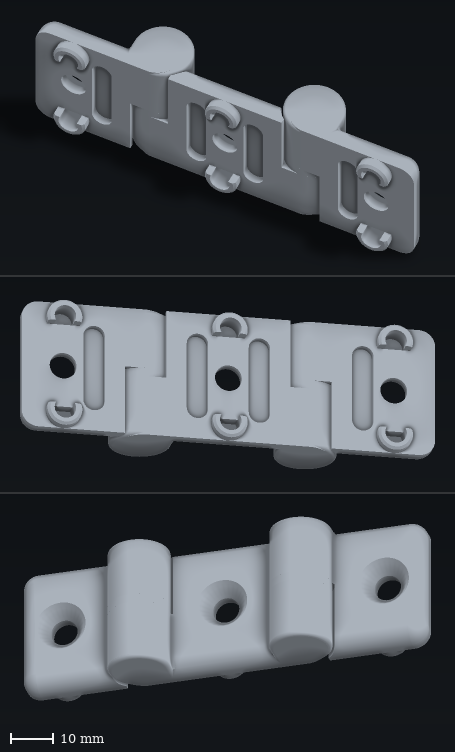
import cadquery as cq
import math

LENGTH = 100.0
HEIGHT = 32.0
THICKNESS = 6.0
EDGE_RADIUS = 4.0
HALF_HEIGHT = HEIGHT / 2

AXIS_X = 20.0
KNUCKLE_RADIUS = 7.5
KNUCKLE_END_FILLET = 1.0
KNUCKLE_ROOT_FILLET = 0.7
WASHER_THICKNESS = 2.1
WEB_SWEEP = 45.0
WEB_BULGE_RADIUS = 7.0

CLEARANCE_RADIUS = 8.0
NOTCH_REACH = 5.0

HOLE_PITCH = 40.0
HOLE_DIAMETER = 6.5
COUNTERSINK_DEPTH = 3.6
COUNTERSINK_ANGLE = 80.0

SLOT_OFFSET = 7.5
SLOT_LENGTH = 21.6
SLOT_WIDTH = 5.2
SLOT_DEPTH = 2.0

BOSS_RADIUS = 4.2
BOSS_BORE_RADIUS = 2.6
BOSS_HEIGHT = 2.8
BOSS_CHAMFER = 0.6
BOSS_CENTRE_Z = HALF_HEIGHT - BOSS_RADIUS
BOSS_FLAT_Z = 10.5
BOSS_BORE_DEPTH = 3.0


def block(x_min, x_max, y_min, y_max, z_min, z_max):
    size = (x_max - x_min, y_max - y_min, z_max - z_min)
    return cq.Workplane("XY").box(*size, centered=False).translate((x_min, y_min, z_min))


def cylinder_y(radius, x, z, y_min, y_max):
    """Cylinder along Y."""
    return cq.Workplane("XZ", origin=(x, y_min, z)).circle(radius).extrude(y_min - y_max)


def cylinder_z(radius, x, z_min, z_max):
    """Cylinder along a hinge axis."""
    return cq.Workplane("XY", origin=(x, KNUCKLE_RADIUS, z_min)).circle(radius).extrude(z_max - z_min)


def plate_blank():
    """Plate of all three leaves together, rounded around its back."""
    blank = block(-LENGTH / 2, LENGTH / 2, 0, THICKNESS, -HALF_HEIGHT, HALF_HEIGHT)
    return blank.edges("|Y").fillet(EDGE_RADIUS).faces(">Y").edges().fillet(EDGE_RADIUS)


def knuckle():
    """Knuckle on the upper half of the left axis, rooted on the plate to its left."""
    z_start = WASHER_THICKNESS / 2
    root_x = -AXIS_X - KNUCKLE_RADIUS
    barrel = cylinder_z(KNUCKLE_RADIUS, -AXIS_X, z_start, HALF_HEIGHT)
    barrel = barrel.union(block(root_x, -AXIS_X, 0, KNUCKLE_RADIUS, z_start, HALF_HEIGHT))
    barrel = barrel.faces(">Z").edges().fillet(KNUCKLE_END_FILLET)

    land_radius = KNUCKLE_RADIUS - KNUCKLE_END_FILLET
    sweep = math.radians(WEB_SWEEP)
    bulge = (WEB_BULGE_RADIUS * math.sin(sweep / 2), -WEB_BULGE_RADIUS * math.cos(sweep / 2))
    web_end = (land_radius * math.sin(sweep), -land_radius * math.cos(sweep))
    web = (
        cq.Workplane("XY", origin=(-AXIS_X, KNUCKLE_RADIUS, z_start))
        .moveTo(-land_radius, -KNUCKLE_RADIUS)
        .lineTo(0, -KNUCKLE_RADIUS)
        .threePointArc(bulge, web_end)
        .lineTo(-land_radius, 0)
        .close()
        .extrude(HALF_HEIGHT - z_start)
    )
    return barrel.union(web)


def notch(z_max):
    """Clearance for a neighbour's knuckle at the left axis, cut into the leaf on its left."""
    wall = block(-AXIS_X - NOTCH_REACH, 0, 0, THICKNESS, -HALF_HEIGHT, z_max)
    return wall.union(cylinder_z(CLEARANCE_RADIUS, -AXIS_X, -HALF_HEIGHT, z_max))


def root_profile(z):
    """Concave triangle in the corner between the plate's back and the knuckle's straight side."""
    inset = KNUCKLE_ROOT_FILLET * (1 - math.sqrt(0.5))
    return (
        cq.Workplane("XY", origin=(-AXIS_X - KNUCKLE_RADIUS, THICKNESS, z))
        .lineTo(0, KNUCKLE_ROOT_FILLET)
        .threePointArc((-inset, inset), (-KNUCKLE_ROOT_FILLET, 0))
        .close()
    )


def root_fillet():
    """Fillet along the knuckle's root, bending over the rounded top edge up to the knuckle's end fillet."""
    z_start = WASHER_THICKNESS / 2
    z_bend = HALF_HEIGHT - EDGE_RADIUS
    bend_angle = math.degrees(math.asin((EDGE_RADIUS - KNUCKLE_END_FILLET) / EDGE_RADIUS))
    straight = root_profile(z_start).extrude(z_bend - z_start)
    bend = root_profile(z_bend).revolve(bend_angle, (0, -EDGE_RADIUS, 0), (1, -EDGE_RADIUS, 0))
    return straight, bend


def hinge_side(plate):
    """Right-hand side of a leaf that ends at the left axis: knuckle above, clearance notch below."""
    leaf = plate.cut(notch(WASHER_THICKNESS / 2)).union(knuckle())
    for piece in root_fillet():
        leaf = leaf.union(piece)
    return leaf


def screw_hole(x):
    """Through hole, countersunk from the back."""
    radius = HOLE_DIAMETER / 2
    spread = COUNTERSINK_DEPTH * math.tan(math.radians(COUNTERSINK_ANGLE / 2))
    sink = cq.Solid.makeCone(
        radius + spread, radius, COUNTERSINK_DEPTH, cq.Vector(x, THICKNESS, 0), cq.Vector(0, -1, 0)
    )
    return cylinder_y(radius, x, 0, 0, THICKNESS).union(cq.Workplane(sink))


def slot(x):
    """Blind slot in the flat face."""
    return cq.Workplane("XZ", origin=(x, 0, 0)).slot2D(SLOT_LENGTH, SLOT_WIDTH, 90).extrude(-SLOT_DEPTH)


def outer_half(x, side):
    """Region beyond the flat ends of a boss on the upper (1) or lower (-1) edge."""
    half = block(x - BOSS_RADIUS, x + BOSS_RADIUS, -BOSS_HEIGHT, THICKNESS, BOSS_FLAT_Z, HALF_HEIGHT)
    return half if side > 0 else half.mirror("XY")


def add_bosses(leaf, x):
    """Leaf with an upper and a lower half-ring boss, each with a bore that runs on into the plate."""
    for side in (1, -1):
        region = outer_half(x, side)
        z = side * BOSS_CENTRE_Z
        boss = cylinder_y(BOSS_RADIUS, x, z, -BOSS_HEIGHT, 0).faces("<Y").chamfer(BOSS_CHAMFER)
        bore = cylinder_y(BOSS_BORE_RADIUS, x, z, -BOSS_HEIGHT, BOSS_BORE_DEPTH)
        leaf = leaf.union(boss.intersect(region)).cut(bore.intersect(region))
    return leaf


def plate_section(x_min, x_max):
    """Stretch of the plate between two X positions."""
    return plate_blank().intersect(block(x_min, x_max, 0, THICKNESS, -HALF_HEIGHT, HALF_HEIGHT))


def outer_leaf():
    """Left leaf, with one hinge side and one slot."""
    leaf = hinge_side(plate_section(-LENGTH / 2, -AXIS_X))
    leaf = leaf.cut(screw_hole(-HOLE_PITCH)).cut(slot(-HOLE_PITCH + SLOT_OFFSET))
    return add_bosses(leaf, -HOLE_PITCH)


def middle_leaf():
    """Centre leaf, carrying the lower knuckle of both axes."""
    half = hinge_side(plate_section(-2 * AXIS_X, -AXIS_X))
    half = half.rotate((-AXIS_X, 0, 0), (-AXIS_X, 1, 0), 180)
    leaf = half.union(half.mirror("YZ")).cut(screw_hole(0))
    for x in (-SLOT_OFFSET, SLOT_OFFSET):
        leaf = leaf.cut(slot(x))
    return add_bosses(leaf, 0)


def washer(x):
    """Spacer between the two knuckles of one axis."""
    return cylinder_z(KNUCKLE_RADIUS, x, -WASHER_THICKNESS / 2, WASHER_THICKNESS / 2)


left_leaf = outer_leaf()
right_leaf = left_leaf.mirror("YZ")
centre_leaf = middle_leaf()
washers = [washer(x) for x in (-AXIS_X, AXIS_X)]

result = cq.Compound.makeCompound(
    [*left_leaf.solids().vals(), *centre_leaf.solids().vals(), *right_leaf.solids().vals()]
    + [spacer.val() for spacer in washers]
)